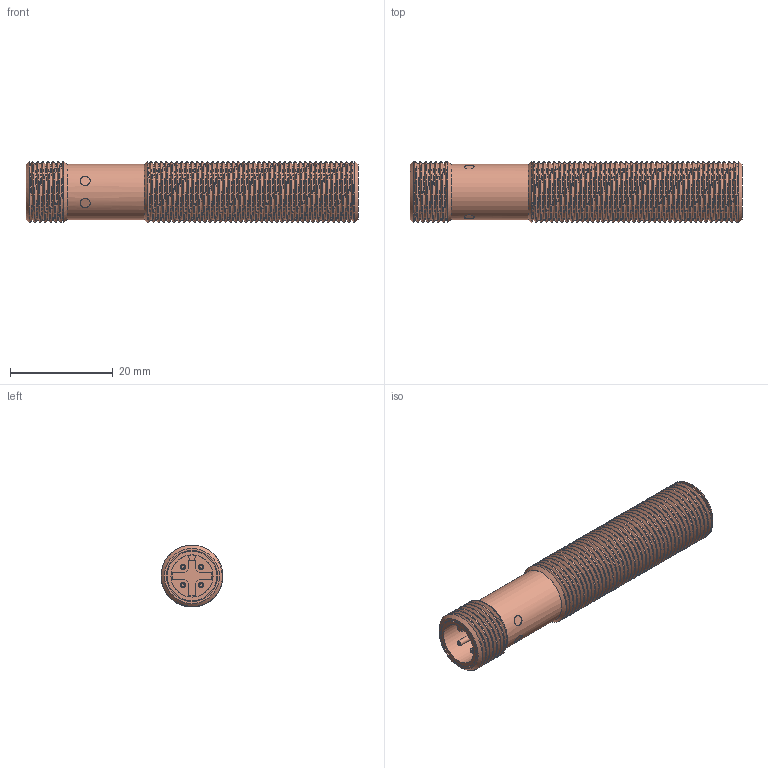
import cadquery as cq
import math


total_length = 64.51
collar_length = 8.0
barrel_start = 23.0

thread_radius = 6.01
pitch = 1.0
thread_depth = 5 / 8 * pitch * math.cos(math.radians(30))
root_radius = thread_radius - thread_depth
root_flat = pitch / 4
flank_slope = math.tan(math.radians(30))
ridge_phase = 0.02
ridge_embed = 0.05
overrun_turns = 2
trim_clearance = 0.5
end_chamfer = 0.65

neck_radius = 5.35
window_radius = 0.97
window_depth = 0.2
window_cutter_height = 2 * window_depth
window_x = 11.5
window_tilt = 24.0

bore_radius = 4.1
bore_depth = 8.5
ring_groove_inner = 4.8
ring_groove_outer = 4.95
ring_groove_depth = 0.2

cross_width = 1.36
cross_depth = 1.0
cross_floor_radius = 3.8
cross_hub_width = 2.9

key_tip_radius = 3.0
key_tip_width = 1.0
key_root_width = cross_width
key_setback = 0.2
key_embed = 0.2

pin_count = 4
pin_circle_radius = 2.5
pin_radius = 0.5
pin_tip_x = 1.7
pin_tip_chamfer = 0.2


def along_x(radius, start, length):
    """Cylinder on the X axis."""
    return cq.Workplane("YZ", origin=(start, 0, 0)).circle(radius).extrude(length)


def helix_spine(turns):
    """Helix about Z, made of one edge per turn so that the swept faces stay short and accurate."""
    edges = []
    for turn in range(turns):
        helix = cq.Wire.makeHelix(pitch, pitch, root_radius)
        edges += helix.translate(cq.Vector(0, 0, turn * pitch)).Edges()
    return cq.Workplane(obj=cq.Wire.assembleEdges(edges))


def thread_ridge(first, turns):
    """Right-hand helical ridge about X, starting on the +Y side at X = first."""
    half_at_root = (pitch - root_flat) / 2
    half_base = half_at_root + ridge_embed * flank_slope
    half_crest = half_at_root - thread_depth * flank_slope
    base_radius = root_radius - ridge_embed
    ridge = (
        cq.Workplane("XZ")
        .polyline([
            (base_radius, -half_base),
            (thread_radius, -half_crest),
            (thread_radius, half_crest),
            (base_radius, half_base),
        ])
        .close()
        .sweep(helix_spine(turns), isFrenet=True)
    )
    return ridge.rotate((0, 0, 0), (1, 1, 1), 120).translate((first, 0, 0))


def threaded_cylinder(start, end):
    """Core with a plain cone at each end and a helical ridge between the cones."""
    thread_start = start + end_chamfer
    thread_end = end - end_chamfer
    face_radius = thread_radius - end_chamfer
    core = (
        cq.Workplane("XY")
        .polyline([
            (start, 0),
            (start, face_radius),
            (thread_start, thread_radius),
            (thread_start, root_radius),
            (thread_end, root_radius),
            (thread_end, thread_radius),
            (end, face_radius),
            (end, 0),
        ])
        .close()
        .revolve(360, (0, 0, 0), (1, 0, 0))
    )
    first = start + ridge_phase - overrun_turns * pitch
    turns = math.ceil((end - start) / pitch) + 2 * overrun_turns
    trim = along_x(thread_radius + trim_clearance, thread_start, thread_end - thread_start)
    return core.union(thread_ridge(first, turns).intersect(trim))


def window_recesses():
    """Four shallow round recesses, two on each side of the neck."""
    recesses = cq.Workplane()
    for side in (0, 180):
        for tilt in (-window_tilt, window_tilt):
            recess = (
                cq.Workplane("XZ", origin=(window_x, -(neck_radius - window_depth), 0))
                .circle(window_radius)
                .extrude(window_cutter_height)
                .rotate((0, 0, 0), (1, 0, 0), side + tilt)
            )
            recesses = recesses.add(recess)
    return recesses.combine()


def cross_recess():
    """Cross-shaped pocket with a diagonal hub, tapered at the arm ends, below the socket floor."""
    arm_length = 2 * bore_radius
    floor = cq.Workplane("YZ", origin=(bore_depth, 0, 0))
    upright_arm = floor.center(0, (key_tip_radius - bore_radius) / 2)
    cross = (
        floor.rect(arm_length, cross_width).extrude(cross_depth)
        .union(upright_arm.rect(cross_width, bore_radius + key_tip_radius).extrude(cross_depth))
        .union(
            floor.rect(cross_hub_width, cross_hub_width).extrude(cross_depth)
            .rotate((0, 0, 0), (1, 0, 0), 45)
        )
    )
    taper = (
        floor.circle(bore_radius)
        .workplane(offset=cross_depth).circle(cross_floor_radius)
        .loft()
    )
    return cross.intersect(taper)


def coding_key():
    """Key on the top of the socket wall, narrowing towards the axis."""
    root_z = bore_radius + key_embed
    return (
        cq.Workplane("YZ", origin=(key_setback, 0, 0))
        .polyline([
            (-key_root_width / 2, root_z),
            (key_root_width / 2, root_z),
            (key_tip_width / 2, key_tip_radius),
            (-key_tip_width / 2, key_tip_radius),
        ])
        .close()
        .extrude(bore_depth - key_setback)
    )


def contact_pins():
    pin_length = bore_depth - pin_tip_x
    return (
        cq.Workplane("YZ", origin=(pin_tip_x, 0, 0))
        .polarArray(pin_circle_radius, 45, 360, pin_count)
        .circle(pin_radius)
        .extrude(pin_length)
        .faces("<X")
        .chamfer(pin_tip_chamfer)
    )


def ring_groove():
    return (
        cq.Workplane("YZ")
        .circle(ring_groove_outer)
        .circle(ring_groove_inner)
        .extrude(ring_groove_depth)
    )


neck = along_x(neck_radius, collar_length, barrel_start - collar_length)
body = (
    threaded_cylinder(0, collar_length)
    .union(neck.cut(window_recesses()))
    .union(threaded_cylinder(barrel_start, total_length))
)
socket = along_x(bore_radius, 0, bore_depth)
body = body.cut(socket).cut(cross_recess()).cut(ring_groove())
result = body.union(coding_key()).union(contact_pins())